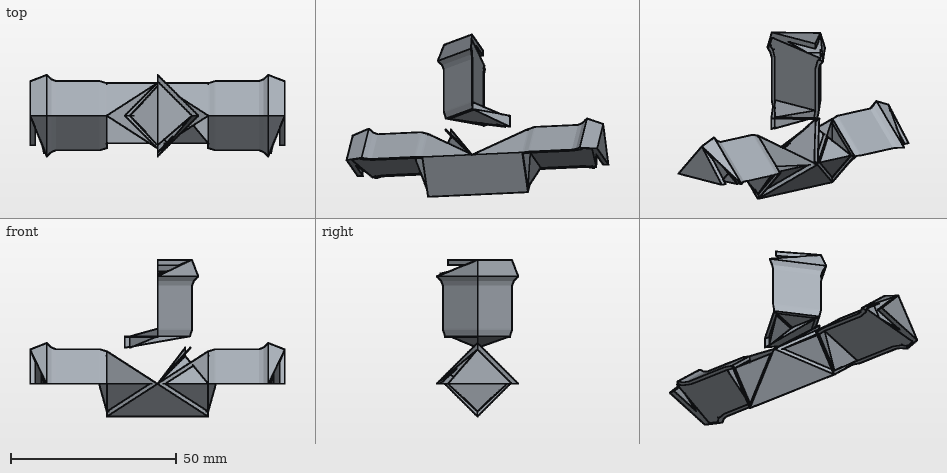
import cadquery as cq
import math


arm_end = 38.5
plate_thickness = 1.6
shell_ridge_station = 33.5
core_ridge_station = 34.35
body_end = 17.7
neck_end = 15.35
collar_start = 15.9

end_radius = 10.4
ridge_radius = 12.37
body_radius = 10.5
neck_radius = 9.9
core_body_radius = 8.95
core_neck_radius = 8.4
plate_corner = core_body_radius

shell_profile = [
    (arm_end, end_radius),
    (shell_ridge_station, ridge_radius),
    (32.1, 11.05),
    (30.75, body_radius),
    (body_end, body_radius),
    (17.25, 10.45),
    (collar_start, 10.0),
    (neck_end, neck_radius),
]
core_profile = [
    (arm_end - plate_thickness, 10.25),
    (core_ridge_station, 11.3),
    (33.3, 9.95),
    (30.65, core_body_radius),
    (body_end, core_body_radius),
    (neck_end, core_neck_radius),
]

arm_drop = 1.0
flap_depth = 3.5

fin_height = 11.0

lip_thickness = 0.2


def pyramid(base, apex):
    """Solid pyramid over a flat polygon; a three-point base gives a tetrahedron."""
    outlines = [base]
    for start, end in zip(base, base[1:] + base[:1]):
        outlines.append([start, end, apex])
    faces = []
    for outline in outlines:
        wire = cq.Wire.makePolygon([cq.Vector(*point) for point in outline], close=True)
        faces.append(cq.Face.makeFromWires(wire))
    solid = cq.Solid.makeSolid(cq.Shell.makeShell(faces))
    return cq.Workplane(obj=solid.fix())


def half_arm(profile):
    """Half-diamond bar on +X along Z, its faces ruled from one profile station to the next."""
    sections = []
    for station, radius in profile:
        corners = [(0, -radius, station), (radius, 0, station), (0, radius, station)]
        sections.append(cq.Wire.makePolygon([cq.Vector(*corner) for corner in corners], close=True))
    return cq.Workplane(obj=cq.Solid.makeLoft(sections, True))


def missing_corner(end, ridge):
    """Corner absent from the -Y side of an arm end, between two (station, radius) profile rings."""
    end_station, end_corner = end
    ridge_station, ridge_corner = ridge
    tip = (end_corner, 0, end_station)
    far_corner = (0, end_corner, end_station)
    lost_corner = (0, -end_corner, end_station)
    return pyramid([tip, far_corner, lost_corner], (0, -ridge_corner, ridge_station))


def end_plate():
    """Plate closing the arm end, overhanging the missing corner on its -Y side."""
    return (
        cq.Workplane("XY", origin=(0, 0, arm_end))
        .polyline([(0, end_radius), (end_radius, 0), (0, -plate_corner)])
        .close()
        .extrude(-plate_thickness)
    )


def neck_wedge():
    """Sloping part of the core on -X of the neck, where the shell is open."""
    neck_base = [
        (0, -core_body_radius, body_end),
        (0, core_body_radius, body_end),
        (0, core_neck_radius, neck_end),
        (0, -core_neck_radius, neck_end),
    ]
    return pyramid(neck_base, (-core_neck_radius, 0, neck_end))


def neck_lip():
    """Thin lip of the shell on -X of the neck, round the core."""
    return (
        cq.Workplane("XY", origin=(0, 0, neck_end))
        .polyline([(0, -neck_radius), (0, neck_radius), (-neck_radius, 0)])
        .close()
        .extrude(-lip_thickness)
    )


def shell_flap():
    """Sloping tongue of the shell below the short arm's neck, on the +Y half."""
    neck_face = [(neck_radius, 0, neck_end), (0, neck_radius, neck_end), (-neck_radius, 0, neck_end)]
    return pyramid(neck_face, (-neck_radius, 0, neck_end - flap_depth))


def core_flap():
    """Smaller tongue of the core beside it, on the -X, -Y quarter."""
    neck_face = [(0, 0, neck_end), (0, -core_neck_radius, neck_end), (-core_neck_radius, 0, neck_end)]
    return pyramid(neck_face, (-core_neck_radius, 0, neck_end - flap_depth))


def on_long_rod(arm):
    """The arm laid along the long rod: a -X copy opening downwards and its +X mirror image."""
    left = arm.rotate((0, 0, 0), (0, 1, 0), -90)
    return left, left.mirror("YZ")


def lower_bar(radius):
    """Lower half-diamond bar along X between the two necks."""
    return (
        cq.Workplane("YZ", origin=(-neck_end, 0, 0))
        .polyline([(-radius, 0), (0, -radius), (radius, 0)])
        .close()
        .extrude(2 * neck_end)
    )


def long_middle():
    """Diamond bar between the necks, with a V notch on top and its -Y side cut back to a peak."""
    lower = lower_bar(neck_radius)
    bar = lower.union(lower.mirror("XY"))
    top_notch = (
        cq.Workplane("XZ")
        .polyline([(-neck_end, neck_radius), (0, 0), (neck_end, neck_radius)])
        .close()
        .extrude(neck_radius, both=True)
    )
    bar = bar.cut(top_notch)
    for side in (-1, 1):
        side_cut = (
            cq.Workplane("XY")
            .polyline([(side * neck_end, 0), (side * neck_end, -neck_radius), (0, -neck_radius)])
            .close()
            .extrude(neck_radius, both=True)
        )
        bar = bar.cut(side_cut)
    return bar


def fin():
    """Core wedge rising into the top notch, and its buttress towards the +X neck."""
    near_corner = (0, -core_neck_radius, 0)
    far_corner = (0, core_neck_radius, 0)
    foot = (core_neck_radius, 0, 0)
    upper = pyramid([near_corner, far_corner, foot], (core_neck_radius, 0, fin_height))
    neck_corner = (neck_end, -core_neck_radius, 0)
    buttress = pyramid([near_corner, foot, neck_corner], (core_neck_radius, 0, core_neck_radius))
    return upper.union(buttress)


def fin_lip():
    """Thin sloping sheet of the shell round the fin, rising from the bottom of the top notch."""
    slope_length = math.hypot(neck_radius, fin_height)
    sheet_plane = cq.Plane(
        origin=(0, 0, 0), xDir=(neck_radius, 0, fin_height), normal=(-fin_height, 0, neck_radius)
    )
    return (
        cq.Workplane(sheet_plane)
        .polyline([(0, -neck_radius), (slope_length, 0), (0, neck_radius)])
        .close()
        .extrude(-lip_thickness)
    )


arm_core = half_arm(core_profile).cut(missing_corner(*core_profile[:2]))
shell_cut = missing_corner(*shell_profile[:2]).cut(end_plate())
arm_shell = half_arm(shell_profile).cut(shell_cut).cut(arm_core)
arm_core = arm_core.union(neck_wedge())
arm_shell = arm_shell.union(neck_lip())

short_core = arm_core.union(core_flap())
short_shell = arm_shell.union(shell_flap()).cut(short_core)
lowered = (0, 0, -arm_drop)
short_core = short_core.translate(lowered)
short_shell = short_shell.translate(lowered)

long_core = lower_bar(core_neck_radius).union(fin())
for core in on_long_rod(arm_core):
    long_core = long_core.union(core)
long_shell = long_middle().union(fin_lip())
for shell in on_long_rod(arm_shell):
    long_shell = long_shell.union(shell)
long_shell = long_shell.cut(long_core)

bodies = [long_shell, long_core, short_shell, short_core]
result = cq.Compound.makeCompound([body.solids().val() for body in bodies])